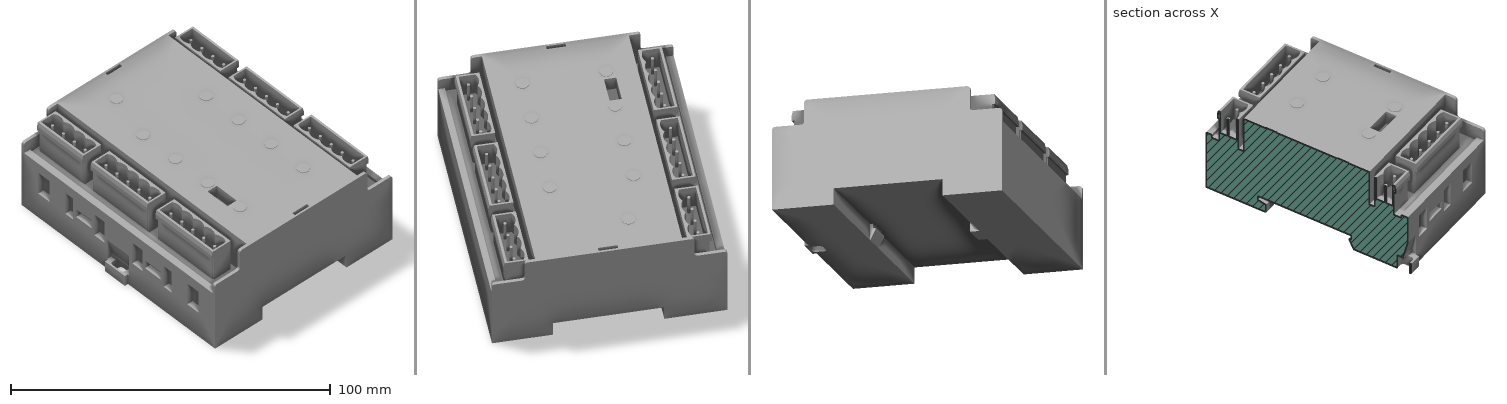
import cadquery as cq

LENGTH = 89.79
DEPTH = 75.0
HEIGHT = 35.0
TOP_DEPTH = 54.0
LEDGE_Z = 27.0
CORNER_RADIUS = 1.0

HALF_DEPTH = DEPTH / 2
FRONT_Y = -HALF_DEPTH

NOTCH_Y_MIN = -17.4
NOTCH_Y_MAX = 18.15
NOTCH_Z = 5.3

SIDE_WALL = 1.1
BAY_MIRROR_Y = 0.18
BAY_INNER_Y = 23.4
BAY_OUTER_Y = 35.2
RIM_Z = 22.8
BAY_FLOOR_Z = 21.6
OPENING_DEPTH = 0.5
OPENING_INNER_Y = 25.5
BAY_LENGTH = LENGTH - 2 * SIDE_WALL

PITCH = 5.08
END_MARGIN = 2.9
TERMINAL_POLES = [(-32.2, 4), (-4.75, 5), (25.35, 5)]
TERMINAL_INNER_Y = 25.25
TERMINAL_OUTER_Y = 32.2
TERMINAL_Z = 33.7
PANEL_OUTER_Y = 32.5
PANEL_INSET = 0.6
LIP_OUTER_Y = 33.2
LIP_BOTTOM_Z = 30.5
LIP_SLOPE_Z = 32.2
LIP_SLOPE_RUN = 0.4
CAVITY_OUTER_Y = 32.0
CAVITY_INNER_Y = 26.0
CAVITY_WALL = 0.6
CAVITY_DEPTH = 8.6
SCALLOP_RISE = 0.85
SCALLOP_RADIUS = ((PITCH / 2) ** 2 + SCALLOP_RISE**2) / (2 * SCALLOP_RISE)
PIN_Y = 29.3
PIN_DIAMETER = 1.0
PIN_HEIGHT = 7.0

LAMP_DIAMETER = 4.2
LAMP_HEIGHT = 0.2
LAMP_ROW_X = [-15.0, 0.0, 15.0, 30.0]
LAMP_ROW_Y = 13.35
SINGLE_LAMP = (-32.9, -8.3)
WINDOW_CENTRE = (22.35, -14.0)
WINDOW_SIZE = (9.2, 3.9)
WINDOW_DEPTH = 5.0
LATCH_SLOTS = [(-43.6, 0.3), (43.6, 0.0)]
LATCH_SLOT_SIZE = (1.2, 6.2)
LATCH_SLOT_DEPTH = 2.0

RECESS_DEPTH = 2.2
TALL_RECESS_Z = (10.1, 18.9)
LOW_RECESS_Z = (12.15, 15.4)
FRONT_RECESSES = [
    (34.6, 5.2, TALL_RECESS_Z),
    (22.8, 3.6, TALL_RECESS_Z),
    (16.0, 7.2, LOW_RECESS_Z),
    (8.8, 4.7, TALL_RECESS_Z),
]

CLIP_X = -0.15
CLIP_WIDTH = 9.2
CLIP_TOP_Z = 4.15
TAB_LENGTH = 1.34
CLIP_RECESS_WIDTH = 9.95
CLIP_RECESS_TOP_Z = 12.2
CLIP_RECESS_SLOPE_Z = 6.0
CLIP_RECESS_DEPTH = 1.6
CLIP_HOLE_WIDTH = 5.9
CLIP_HOLE_TOP_Z = 5.2
CLIP_HOLE_WALL = 0.65
CLIP_HOLE_LENGTH = 4.6
CLIP_HOLE_RADIUS = 1.2
HOOK_REACH = 2.95
HOOK_TIP_Z = 3.2
HOOK_ROOT_Z = 3.9
NOSE_REACH = 1.8
NOSE_TIP_Z = 3.4
NOSE_SHOULDER_Z = 3.9
NOSE_NECK_REACH = 1.0


def block(x_range, y_range, z_range):
    """Axis-aligned box between the given limits."""
    size = [end - start for start, end in (x_range, y_range, z_range)]
    corner = (x_range[0], y_range[0], z_range[0])
    return cq.Workplane("XY").box(*size, centered=False).translate(corner)


def centred(middle, width):
    return (middle - width / 2, middle + width / 2)


def extrude_along_x(points, middle, width):
    """Solid with the given YZ outline, centred on X = middle."""
    outline = cq.Workplane("YZ").polyline(points).close()
    return outline.extrude(width / 2, both=True).translate((middle, 0, 0))


def make_housing():
    half_top = TOP_DEPTH / 2
    outline = [
        (-HALF_DEPTH, 0),
        (NOTCH_Y_MIN, 0),
        (NOTCH_Y_MIN, NOTCH_Z),
        (NOTCH_Y_MAX, NOTCH_Z),
        (NOTCH_Y_MAX, 0),
        (HALF_DEPTH, 0),
        (HALF_DEPTH, LEDGE_Z),
        (half_top, LEDGE_Z),
        (half_top, HEIGHT),
        (-half_top, HEIGHT),
        (-half_top, LEDGE_Z),
        (-HALF_DEPTH, LEDGE_Z),
    ]
    housing = extrude_along_x(outline, 0, LENGTH)
    shoulders = cq.selectors.BoxSelector(
        (-LENGTH, -DEPTH, LEDGE_Z - CORNER_RADIUS), (LENGTH, DEPTH, HEIGHT + CORNER_RADIUS)
    )
    return housing.edges("|X").edges(shoulders).fillet(CORNER_RADIUS)


def make_bay():
    """Space removed for the terminals on the +Y side."""
    x_range = centred(0, BAY_LENGTH)
    above_rim = block(x_range, (BAY_INNER_Y, DEPTH), (RIM_Z, HEIGHT))
    well = block(x_range, (BAY_INNER_Y, BAY_OUTER_Y), (BAY_FLOOR_Z, RIM_Z))
    first_x = TERMINAL_POLES[0][0]
    last_x = TERMINAL_POLES[-1][0]
    opening = block(
        (first_x, last_x),
        (OPENING_INNER_Y, PANEL_OUTER_Y),
        (BAY_FLOOR_Z - OPENING_DEPTH, BAY_FLOOR_Z),
    )
    return above_rim.union(well).union(opening)


def make_terminal(x, poles):
    """Pin header on the +Y side with a scalloped wall towards the middle of the part."""
    pin_xs = [x + (i - (poles - 1) / 2) * PITCH for i in range(poles)]
    length = (poles - 1) * PITCH + 2 * END_MARGIN
    base_z = BAY_FLOOR_Z - OPENING_DEPTH
    body = block(centred(x, length), (TERMINAL_INNER_Y, TERMINAL_OUTER_Y), (base_z, TERMINAL_Z))
    panel = block(
        centred(x, length - 2 * PANEL_INSET),
        (TERMINAL_OUTER_Y, PANEL_OUTER_Y),
        (base_z, LIP_BOTTOM_Z),
    )
    lip = extrude_along_x(
        [
            (TERMINAL_OUTER_Y, LIP_BOTTOM_Z),
            (LIP_OUTER_Y, LIP_BOTTOM_Z),
            (LIP_OUTER_Y, LIP_SLOPE_Z),
            (LIP_OUTER_Y - LIP_SLOPE_RUN, TERMINAL_Z),
            (TERMINAL_OUTER_Y, TERMINAL_Z),
        ],
        x,
        length,
    )

    floor_z = TERMINAL_Z - CAVITY_DEPTH
    cavity_x = centred(x, length - 2 * CAVITY_WALL)
    cavity_z = (floor_z, TERMINAL_Z)
    cusp_y = CAVITY_INNER_Y + SCALLOP_RISE
    cavity = block(cavity_x, (cusp_y, CAVITY_OUTER_Y), cavity_z)
    scallop_limits = block(cavity_x, (CAVITY_INNER_Y, PIN_Y), cavity_z)
    for pin_x in pin_xs:
        scallop = (
            cq.Workplane("XY", origin=(pin_x, CAVITY_INNER_Y + SCALLOP_RADIUS, floor_z))
            .circle(SCALLOP_RADIUS)
            .extrude(CAVITY_DEPTH)
            .intersect(scallop_limits)
        )
        cavity = cavity.union(scallop)
    pins = (
        cq.Workplane("XY", origin=(0, PIN_Y, floor_z))
        .pushPoints([(pin_x, 0) for pin_x in pin_xs])
        .circle(PIN_DIAMETER / 2)
        .extrude(PIN_HEIGHT)
    )
    return body.union(panel).union(lip).cut(cavity).union(pins)


def on_both_sides(shape):
    """The shape and its mirror image, placed about the mirror plane of the bays."""
    return shape.union(shape.mirror("XZ")).translate((0, BAY_MIRROR_Y, 0))


def add_terminals(part):
    bay = make_bay()
    part = part.cut(on_both_sides(bay))
    for x, poles in TERMINAL_POLES:
        part = part.union(on_both_sides(make_terminal(x, poles)))
    return part


def add_top_details(part):
    centres = [(x, y) for y in (-LAMP_ROW_Y, LAMP_ROW_Y) for x in LAMP_ROW_X]
    centres.append(SINGLE_LAMP)
    top = cq.Workplane("XY", origin=(0, 0, HEIGHT))
    lamps = top.pushPoints(centres).circle(LAMP_DIAMETER / 2).extrude(LAMP_HEIGHT)
    window = top.center(*WINDOW_CENTRE).rect(*WINDOW_SIZE).extrude(-WINDOW_DEPTH)
    slots = top.pushPoints(LATCH_SLOTS).rect(*LATCH_SLOT_SIZE).extrude(-LATCH_SLOT_DEPTH)
    return part.union(lamps).cut(window).cut(slots)


def cut_front_recesses(part):
    y_range = (FRONT_Y, FRONT_Y + RECESS_DEPTH)
    for offset, width, z_range in FRONT_RECESSES:
        for x in (-offset, offset):
            part = part.cut(block(centred(x, width), y_range, z_range))
    return part


def add_rail_clip(part):
    back_y = FRONT_Y + CLIP_RECESS_DEPTH
    recess = extrude_along_x(
        [
            (FRONT_Y, CLIP_TOP_Z),
            (back_y, CLIP_TOP_Z),
            (back_y, CLIP_RECESS_SLOPE_Z),
            (FRONT_Y, CLIP_RECESS_TOP_Z),
        ],
        CLIP_X,
        CLIP_RECESS_WIDTH,
    )
    tab_y = FRONT_Y - TAB_LENGTH
    tab = block(centred(CLIP_X, CLIP_WIDTH), (tab_y, FRONT_Y), (0, CLIP_TOP_Z))
    hole_y = tab_y + CLIP_HOLE_WALL
    hole = block(
        centred(CLIP_X, CLIP_HOLE_WIDTH),
        (hole_y, hole_y + CLIP_HOLE_LENGTH),
        (0, CLIP_HOLE_TOP_Z),
    )
    hole = hole.edges("|Z").fillet(CLIP_HOLE_RADIUS)
    nose = extrude_along_x(
        [
            (NOTCH_Y_MIN, 0),
            (NOTCH_Y_MIN + NOSE_REACH, NOSE_TIP_Z),
            (NOTCH_Y_MIN + NOSE_REACH, NOSE_SHOULDER_Z),
            (NOTCH_Y_MIN + NOSE_NECK_REACH, NOSE_SHOULDER_Z),
            (NOTCH_Y_MIN + NOSE_NECK_REACH, NOTCH_Z),
            (NOTCH_Y_MIN, NOTCH_Z),
        ],
        CLIP_X,
        CLIP_WIDTH,
    )
    hook = extrude_along_x(
        [
            (NOTCH_Y_MAX, 0),
            (NOTCH_Y_MAX - HOOK_REACH, 0),
            (NOTCH_Y_MAX - HOOK_REACH, HOOK_TIP_Z),
            (NOTCH_Y_MAX, HOOK_ROOT_Z),
        ],
        CLIP_X,
        CLIP_WIDTH,
    )
    return part.cut(recess).union(tab).cut(hole).union(nose).union(hook)


result = make_housing()
result = add_terminals(result)
result = add_top_details(result)
result = cut_front_recesses(result)
result = add_rail_clip(result)